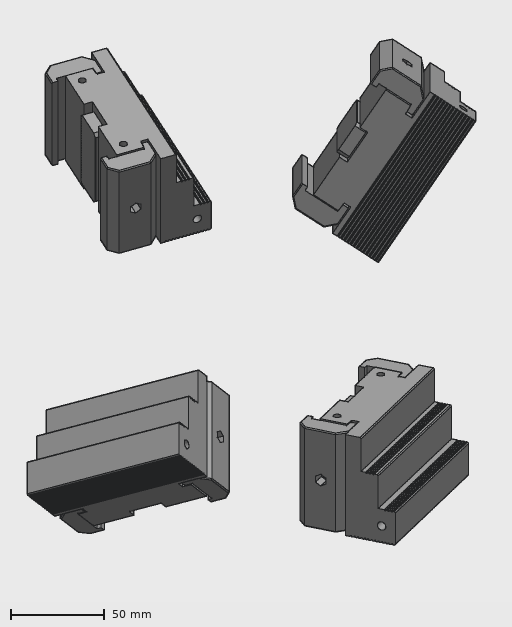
import cadquery as cq
import math


length = 94.0
height = 60.0
total_depth = 58.5
clamp_front_y = -8.7
back_y = total_depth + clamp_front_y
tier_count = 3
tier_height = height / tier_count
tier_depth = 10.1
tier_chamfer = 0.7
flange_front_y = 20.3

rail_half_width = 34.9
neck_half_width = 29.6
shelf_rim_y = 15.9
shelf_slope = math.tan(math.radians(3.5))

groove_depth = 0.6
grooves_per_tread_depth = 5
groove_mouth_width = 1.0
groove_floor_width = 0.4
groove_pitch = tier_depth / grooves_per_tread_depth
bottom_groove_count = 13
tier_groove_count = 3
middle_tier_groove_start = 2.9

key_width = 19.7
key_length = 49.0
key_corner_chamfer = 2.0
key_edge_chamfer = 0.4
key_front_y = -1.9
keyway_depth = 5.0

clamp_half_width = length / 2
clamp_back_y = 19.6
clamp_inner_x = 35.5
clamp_lip_x = 30.9
clamp_foot_x = 33.1
clamp_foot_y = -4.9
clamp_corner_chamfer = 5.0
clamp_end_inset = 0.6
clamp_end_chamfer = 0.7

screw_diameter = 8.0
screw_y = 5.8
screw_z = height / 2
socket_across_flats = 6.0
socket_depth = 7.5

drill_point_angle = 118.0
top_hole_diameter = 4.1
top_hole_depth = 9.4
top_hole_x = 28.0
top_hole_y = 6.8
side_hole_diameter = 4.9
side_hole_depth = 11.3
side_hole_y = 41.6
side_hole_z = tier_height / 2


def shelf_y(x):
    """Y position of the sloping rail shelf at a distance x from the middle plane."""
    return shelf_rim_y + (rail_half_width - x) * shelf_slope


def drilled_hole(diameter, depth, mouth, direction):
    """Cutter for a blind hole ending in a drill point."""
    radius = diameter / 2
    point_length = radius / math.tan(math.radians(drill_point_angle / 2))
    base = cq.Vector(*mouth)
    axis = cq.Vector(*direction)
    bore = cq.Solid.makeCylinder(radius, depth, base, axis)
    point = cq.Solid.makeCone(radius, 0, point_length, base + axis * depth, axis)
    return cq.Workplane(obj=bore).union(cq.Workplane(obj=point))


def mirrored_pair(half):
    """A feature on the +X side together with its mirror image."""
    return half.union(half.mirror("YZ"))


def stepped_jaw():
    """Staircase profile in YZ, running the full length."""
    outline = [(flange_front_y, 0), (back_y, 0)]
    for tier in range(tier_count):
        face_y = back_y - tier * tier_depth
        outline.append((face_y, (tier + 1) * tier_height))
        if tier < tier_count - 1:
            outline.append((face_y - tier_depth, (tier + 1) * tier_height))
    outline.append((flange_front_y, height))
    jaw = cq.Workplane("YZ").polyline(outline).close().extrude(length / 2, both=True)

    corners = [(back_y, 0)]
    corners += [(back_y - tier * tier_depth, (tier + 1) * tier_height) for tier in range(tier_count)]
    for y, z in corners:
        jaw = jaw.edges(cq.selectors.NearestToPointSelector((0, y, z))).chamfer(tier_chamfer)
    return jaw


def rail():
    """T-shaped mounting rail in front of the flange, with its keyway."""
    half_outline = [
        (0, 0),
        (rail_half_width, 0),
        (rail_half_width, shelf_rim_y),
        (neck_half_width, shelf_y(neck_half_width)),
        (neck_half_width, flange_front_y),
        (0, flange_front_y),
    ]
    body = mirrored_pair(cq.Workplane("XY").polyline(half_outline).close().extrude(height))
    keyway = cq.Workplane("XY").rect(key_width, 2 * keyway_depth).extrude(height)
    return body.cut(keyway)


def key():
    """Guide key standing out of the keyway, with cut corners and broken long edges."""
    block = (
        cq.Workplane("XZ", origin=(0, keyway_depth, height / 2))
        .rect(key_width, key_length)
        .extrude(keyway_depth - key_front_y)
        .edges("|Y")
        .chamfer(key_corner_chamfer)
    )
    return block.faces("<Y").edges("|Z").chamfer(key_edge_chamfer)


def groove(y, z, inward):
    """Tapered groove along X; inward is +1 or -1, the Z direction of its depth."""
    floor_z = z + inward * groove_depth
    section = [
        (y - groove_mouth_width / 2, z),
        (y + groove_mouth_width / 2, z),
        (y + groove_floor_width / 2, floor_z),
        (y - groove_floor_width / 2, floor_z),
    ]
    return cq.Workplane("YZ").polyline(section).close().extrude(length / 2, both=True)


def cut_grooves(jaw):
    """Grooves on the underside and on the two lower treads."""
    rows = [
        (back_y - groove_pitch, 0, 1, bottom_groove_count),
        (back_y - groove_pitch, tier_height, -1, tier_groove_count),
        (back_y - tier_depth - middle_tier_groove_start, 2 * tier_height, -1, tier_groove_count),
    ]
    for first_y, z, inward, count in rows:
        for index in range(count):
            jaw = jaw.cut(groove(first_y - index * groove_pitch, z, inward))
    return jaw


def clamp():
    """Hook clamp on the +X side, resting on the rail shelf and held by its screw."""
    outline = [
        (clamp_foot_x, clamp_front_y),
        (clamp_half_width - clamp_corner_chamfer, clamp_front_y),
        (clamp_half_width, clamp_front_y + clamp_corner_chamfer),
        (clamp_half_width, clamp_back_y - clamp_corner_chamfer),
        (clamp_half_width - clamp_corner_chamfer, clamp_back_y),
        (clamp_lip_x, clamp_back_y),
        (clamp_lip_x, shelf_y(clamp_lip_x)),
        (clamp_inner_x, shelf_y(clamp_inner_x)),
        (clamp_inner_x, clamp_foot_y),
        (clamp_foot_x, clamp_foot_y - (clamp_inner_x - clamp_foot_x) * shelf_slope),
    ]
    hook = (
        cq.Workplane("XY", origin=(0, 0, clamp_end_inset))
        .polyline(outline)
        .close()
        .extrude(height - 2 * clamp_end_inset)
    )
    walls = hook.faces("<Y or >X or >(1, 1, 0) or >(1, -1, 0)")
    hook = hook.newObject(walls.edges("not(|Z)").vals()).chamfer(clamp_end_chamfer)

    screw_length = clamp_inner_x - rail_half_width
    screw = (
        cq.Workplane("YZ", origin=(rail_half_width, screw_y, screw_z))
        .circle(screw_diameter / 2)
        .extrude(screw_length)
    )
    socket_across_corners = socket_across_flats / math.cos(math.radians(30))
    socket = (
        cq.Workplane("YZ", origin=(clamp_half_width, screw_y, screw_z))
        .transformed(rotate=(0, 0, 90))
        .polygon(6, socket_across_corners)
        .extrude(-socket_depth)
    )
    return hook.union(screw).cut(socket)


top_hole = drilled_hole(
    top_hole_diameter, top_hole_depth, (top_hole_x, top_hole_y, height), (0, 0, -1)
)
side_hole = drilled_hole(
    side_hole_diameter, side_hole_depth, (length / 2, side_hole_y, side_hole_z), (-1, 0, 0)
)

result = cut_grooves(stepped_jaw()).union(rail()).union(key())
result = result.cut(mirrored_pair(top_hole)).cut(mirrored_pair(side_hole))
result = result.union(mirrored_pair(clamp()))